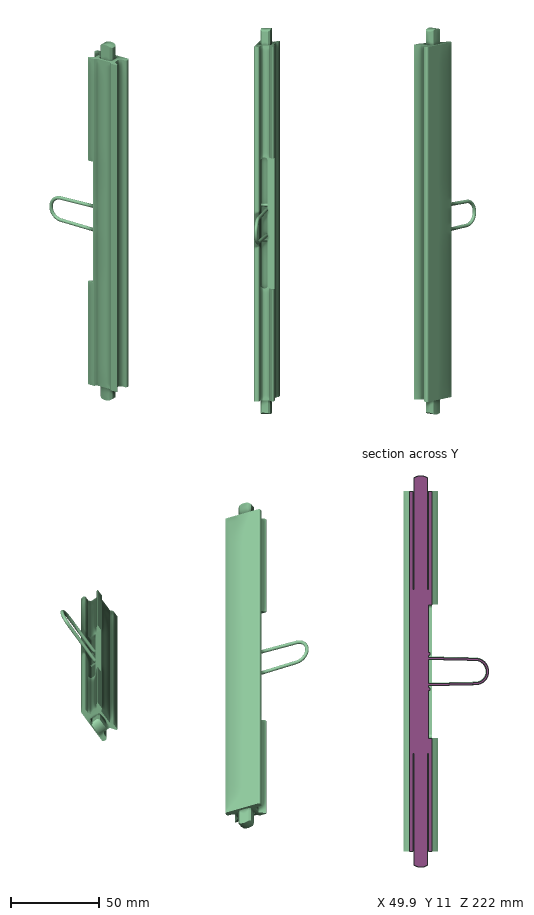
import cadquery as cq
import math

overall_length = 222
rail_length = 204.2
rail_height = 11

flange_width = 22.2
flange_bottom = 8.0
flange_tip_round = 1.0
flange_root_width = 1.3
web_width = 12.9
web_top = 7.0
web_bottom = 3.0
foot_width = 19.5
foot_edge = 0.7
foot_slope_width = 17.8
foot_slope_bottom = 1.3
recess_width = 11.3
recess_depth = 1.3
recess_slope_width = 1.45

bar_width = 8.0
bar_depth = 5.5
bar_middle_y = 6.0
bar_corner = 1.0
bar_crown = 1.3

chamber_clearance = 0.2
chamber_bulge = 0.7
chamber_length = 55.5

opening_length = 75.5
slot_diameter = 4.0
slot_middle_y = flange_bottom - slot_diameter / 2
slot_depth = 2.0

wire_diameter = 2.0
wire_y = 4.9
handle_reach = 38.8
bend_radius = 6.9
leg_splay = 1.2
leg_embed = 0.5
pin_diameter = 2.0
pin_offset = 10.0

wall_x = -web_width / 2
slot_floor_x = wall_x + slot_depth


def make_rail():
    half_web = web_width / 2
    half_flange = flange_width / 2
    half_recess = recess_width / 2
    right_side = [
        (half_recess - recess_slope_width, recess_depth),
        (half_recess, 0),
        (foot_width / 2, 0),
        (foot_width / 2, foot_edge),
        (foot_slope_width / 2, foot_slope_bottom),
        (half_web, web_bottom),
        (half_web, web_top),
        (half_web + flange_root_width, flange_bottom),
        (half_flange, flange_bottom),
        (half_flange, rail_height),
    ]
    left_side = [(-x, y) for x, y in reversed(right_side)]
    rail = (
        cq.Workplane("XY", origin=(0, 0, -rail_length / 2))
        .polyline(right_side + left_side)
        .close()
        .extrude(rail_length)
    )
    for side in ("<X", ">X"):
        rail = rail.faces(side).edges("|Z").fillet(flange_tip_round)
    return rail


def make_opening():
    foot_gap = (
        cq.Workplane("XY")
        .box(flange_width, slot_middle_y, opening_length, centered=(True, False, True))
        .translate((wall_x - flange_width / 2, 0, 0))
    )
    slot = (
        cq.Workplane("YZ", origin=(slot_floor_x, slot_middle_y, 0))
        .slot2D(opening_length, slot_diameter, 90)
        .extrude(-flange_width)
    )
    return foot_gap.union(slot)


def make_chamber(start_z):
    half_width = bar_width / 2 + chamber_clearance
    half_depth = bar_depth / 2 + chamber_clearance
    return (
        cq.Workplane("XY", origin=(0, bar_middle_y, start_z))
        .moveTo(-half_width, -half_depth)
        .threePointArc((0, -half_depth - chamber_bulge), (half_width, -half_depth))
        .lineTo(half_width, half_depth)
        .threePointArc((0, half_depth + chamber_bulge), (-half_width, half_depth))
        .close()
        .extrude(chamber_length)
    )


def make_bar():
    half_width = bar_width / 2
    nose = overall_length / 2
    shoulder = nose - bar_crown
    bar = (
        cq.Workplane("XZ", origin=(0, bar_middle_y + bar_depth / 2, 0))
        .moveTo(-half_width, -shoulder)
        .lineTo(-half_width, shoulder)
        .threePointArc((0, nose), (half_width, shoulder))
        .lineTo(half_width, -shoulder)
        .threePointArc((0, -nose), (-half_width, -shoulder))
        .close()
        .extrude(bar_depth)
    )
    return bar.edges("|Z").chamfer(bar_corner)


def make_handle():
    splay = math.radians(leg_splay)
    bend_centre_x = -handle_reach + wire_diameter / 2 + bend_radius
    tangent_x = bend_centre_x - bend_radius * math.sin(splay)
    tangent_z = bend_radius * math.cos(splay)
    root_x = slot_floor_x + leg_embed
    root_z = tangent_z + (root_x - tangent_x) * math.tan(splay)
    path = (
        cq.Workplane("XZ", origin=(0, wire_y, 0))
        .moveTo(root_x, root_z)
        .lineTo(tangent_x, tangent_z)
        .threePointArc((bend_centre_x - bend_radius, 0), (tangent_x, -tangent_z))
        .lineTo(root_x, -root_z)
    )
    return (
        cq.Workplane("YZ", origin=(root_x, wire_y, root_z))
        .circle(wire_diameter / 2)
        .sweep(path)
    )


def make_pin(z):
    return (
        cq.Workplane("XZ", origin=(slot_floor_x, slot_middle_y - slot_diameter / 2, z))
        .circle(pin_diameter / 2)
        .extrude(-slot_diameter)
    )


result = make_rail().cut(make_opening())
for chamber_start in (-rail_length / 2, rail_length / 2 - chamber_length):
    result = result.cut(make_chamber(chamber_start))
result = result.union(make_bar()).union(make_handle())
for pin_z in (-pin_offset, pin_offset):
    result = result.union(make_pin(pin_z))